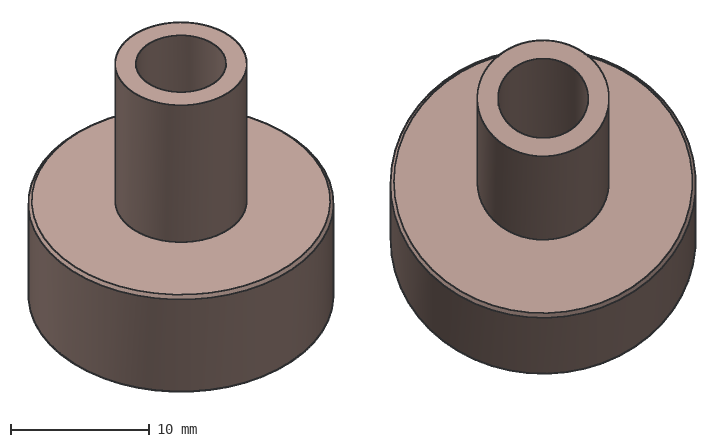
import cadquery as cq

base_diameter = 22.0
total_height = 21.72
tube_length = 12.7
tube_diameter = 9.5
bore_diameter = 6.5
edge_chamfer = 0.25

base_height = total_height - tube_length


def make_base():
    """Round base standing on Z = 0, with both outer rims chamfered."""
    base = cq.Workplane("XY").circle(base_diameter / 2).extrude(base_height)
    return base.edges("%CIRCLE").chamfer(edge_chamfer)


def make_tube():
    """Tube body rising through the base to the full height of the part."""
    return cq.Workplane("XY").circle(tube_diameter / 2).extrude(total_height)


def make_bore():
    """Straight through bore along the part's axis."""
    return cq.Workplane("XY").circle(bore_diameter / 2).extrude(total_height)


result = make_base().union(make_tube()).cut(make_bore())